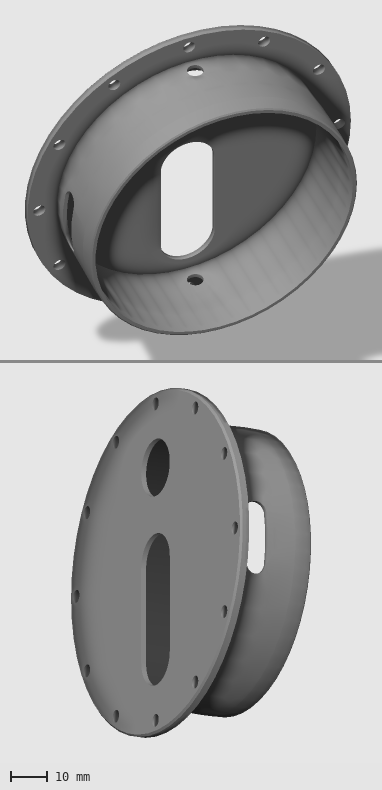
import cadquery as cq

plate_diameter = 95.0
plate_thickness = 2.6
plate_chamfer = 0.6
floor_thickness = 1.5

total_depth = 26.5
collar_inner_diameter = 75.6
collar_root_diameter = 77.7
collar_widest_diameter = 78.7
collar_widest_x = 21.4
collar_rim_diameter = 78.4
rim_chamfer = 0.4

screw_hole_count = 12
screw_hole_diameter = 3.5
screw_circle_diameter = 88.1

opening_width = 15.9
opening_spacing = 26.3

pin_hole_diameter = 4.5
pin_hole_x = 6.65
side_slot_width = 6.0
side_slot_length = 20.2
side_slot_x = 9.9


def make_plate():
    """Disc with a chamfered outer edge, thinned to the floor thickness inside the collar."""
    disc = cq.Workplane("YZ").circle(plate_diameter / 2).extrude(plate_thickness)
    recess = (
        cq.Workplane("YZ", origin=(floor_thickness, 0, 0))
        .circle(collar_inner_diameter / 2)
        .extrude(plate_thickness - floor_thickness)
    )
    return disc.faces("<X").edges().chamfer(plate_chamfer).cut(recess)


def make_collar():
    """Revolved wall that widens slightly, then narrows again towards the rim."""
    inner_radius = collar_inner_diameter / 2
    rim_radius = collar_rim_diameter / 2
    profile = (
        cq.Workplane("XY")
        .moveTo(plate_thickness, inner_radius)
        .lineTo(plate_thickness, collar_root_diameter / 2)
        .lineTo(collar_widest_x, collar_widest_diameter / 2)
        .lineTo(total_depth - rim_chamfer, rim_radius)
        .lineTo(total_depth, rim_radius - rim_chamfer)
        .lineTo(total_depth, inner_radius)
        .close()
    )
    return profile.revolve(360, (0, 0, 0), (1, 0, 0))


def make_plate_cuts():
    """Screw holes, round opening and long slot, all through the plate."""
    face = cq.Workplane("YZ")
    screw_holes = (
        face.polarArray(screw_circle_diameter / 2, 0, 360, screw_hole_count)
        .circle(screw_hole_diameter / 2)
        .extrude(plate_thickness)
    )
    round_opening = face.center(0, opening_spacing).circle(opening_width / 2).extrude(plate_thickness)
    long_slot = (
        cq.Workplane("YZ")
        .center(0, -opening_spacing / 2)
        .slot2D(opening_spacing + opening_width, opening_width, 90)
        .extrude(plate_thickness)
    )
    return screw_holes.union(round_opening).union(long_slot)


def make_collar_cuts():
    """Pin hole through the top and bottom of the wall, and a slot through the -Y side only."""
    pin_hole = (
        cq.Workplane("XY")
        .center(pin_hole_x, 0)
        .circle(pin_hole_diameter / 2)
        .extrude(collar_widest_diameter / 2, both=True)
    )
    side_slot = (
        cq.Workplane("XZ")
        .center(side_slot_x, 0)
        .slot2D(side_slot_length, side_slot_width, 90)
        .extrude(collar_widest_diameter / 2)
    )
    return pin_hole.union(side_slot)


body = make_plate().union(make_collar())
result = body.cut(make_plate_cuts()).cut(make_collar_cuts())